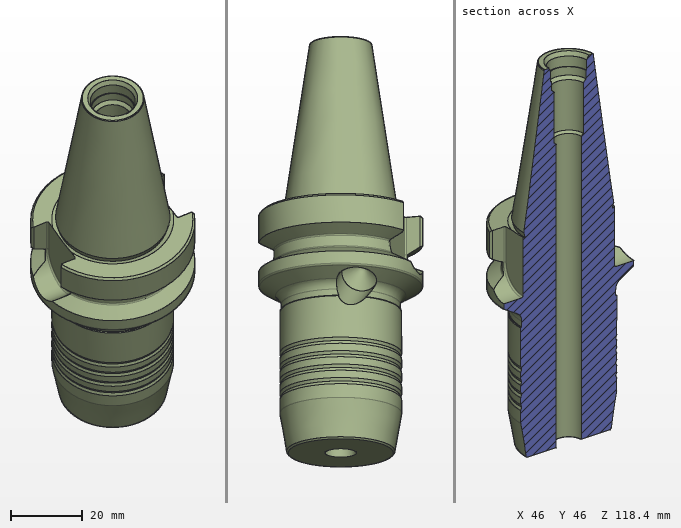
import cadquery as cq
import math

TOTAL_LENGTH = 118.4
OVERCUT = 1.2
SELECT_MARGIN = 0.01

TAPER_TIP_RADIUS = 8.8
TAPER_BASE_RADIUS = 16.0
TAPER_BASE_Z = 70.1
TIP_CHAMFER = 0.2

RELIEF_RADIUS = 15.5
RELIEF_MOUTH_RADIUS = 17.0
RELIEF_DEPTH = 0.6

FLANGE_RADIUS = 23.0
FLANGE_TOP_Z = 69.0
FLANGE_BOTTOM_Z = 48.3
FLANGE_CHAMFER = 0.6
GROOVE_RADIUS = 18.8
GROOVE_UPPER_Z = 58.1
GROOVE_LOWER_Z = 54.6
GROOVE_ROOT_FILLET = 0.5
LOWER_RIM_FILLET = 0.6
FLANK_ANGLE = math.radians(30)

NECK_RADIUS = 16.7
NECK_BLEND_RADIUS = 3.1
NECK_BOTTOM_Z = 41.1
SHOULDER_CHAMFER = 0.2

BODY_RADIUS = 17.0
BODY_BOTTOM_Z = 11.4
NOSE_RADIUS = 15.2
NOSE_CHAMFER = 0.5

RING_COUNT = 4
RING_TOP_Z = 28.0
RING_PITCH = 3.9
RING_WIDTH = 1.8
RING_DEPTH = 0.4

PILOT_MOUTH_RADIUS = 7.0
PILOT_CHAMFER_DEPTH = 1.3
PILOT_RADIUS = 6.3
PILOT_DEPTH = 4.5
RECESS_RADIUS = 6.0
RECESS_DEPTH = 7.1
DRILL_RADIUS = 5.1
DRILL_DEPTH = 23.7
THROUGH_RADIUS = 4.4

SLOT_HALF_WIDTH = 8.0
SLOT_FLOOR_Y = 16.2
SLOT_ARC_CENTRE_Z = 58.1
SLOT_FLOOR_FILLET = 0.5
SLOT_MOUTH_CHAMFER = 0.6

POCKET_RADIUS = 5.2
POCKET_Y = -9.4
POCKET_END_X = -11.2
POCKET_END_Z = 48.1
POCKET_TILT = 40.0
POCKET_LENGTH = 29.6
POCKET_POINT_ANGLE = 90.0


def circle_at(z):
    """Select the circular edge centred on the Z axis at the given height."""
    return cq.selectors.BoxSelector(
        (-SELECT_MARGIN, -SELECT_MARGIN, z - SELECT_MARGIN),
        (SELECT_MARGIN, SELECT_MARGIN, z + SELECT_MARGIN),
    )


def make_body():
    """Revolve the outside profile: taper, flange, neck, body and nose."""
    flank_height = (FLANGE_RADIUS - GROOVE_RADIUS) * math.tan(FLANK_ANGLE)

    blend_turn = math.pi / 2 - FLANK_ANGLE
    blend_start_radius = NECK_RADIUS + NECK_BLEND_RADIUS * (1 - math.cos(blend_turn))
    blend_start_z = FLANGE_BOTTOM_Z - (FLANGE_RADIUS - blend_start_radius) * math.tan(FLANK_ANGLE)
    blend_end_z = blend_start_z - NECK_BLEND_RADIUS * math.sin(blend_turn)
    blend_mid_radius = NECK_RADIUS + NECK_BLEND_RADIUS * (1 - math.cos(blend_turn / 2))
    blend_mid_z = blend_end_z + NECK_BLEND_RADIUS * math.sin(blend_turn / 2)

    profile = (
        cq.Workplane("XZ")
        .moveTo(0, TOTAL_LENGTH)
        .lineTo(TAPER_TIP_RADIUS - TIP_CHAMFER, TOTAL_LENGTH)
        .lineTo(TAPER_TIP_RADIUS, TOTAL_LENGTH - TIP_CHAMFER)
        .lineTo(TAPER_BASE_RADIUS, TAPER_BASE_Z)
        .lineTo(RELIEF_RADIUS, FLANGE_TOP_Z - RELIEF_DEPTH)
        .lineTo(RELIEF_MOUTH_RADIUS, FLANGE_TOP_Z)
        .lineTo(FLANGE_RADIUS - FLANGE_CHAMFER, FLANGE_TOP_Z)
        .lineTo(FLANGE_RADIUS, FLANGE_TOP_Z - FLANGE_CHAMFER)
        .lineTo(FLANGE_RADIUS, GROOVE_UPPER_Z + flank_height)
        .lineTo(GROOVE_RADIUS, GROOVE_UPPER_Z)
        .lineTo(GROOVE_RADIUS, GROOVE_LOWER_Z)
        .lineTo(FLANGE_RADIUS, GROOVE_LOWER_Z - flank_height)
        .lineTo(FLANGE_RADIUS, FLANGE_BOTTOM_Z)
        .lineTo(blend_start_radius, blend_start_z)
        .threePointArc((blend_mid_radius, blend_mid_z), (NECK_RADIUS, blend_end_z))
        .lineTo(NECK_RADIUS, NECK_BOTTOM_Z)
        .lineTo(BODY_RADIUS - SHOULDER_CHAMFER, NECK_BOTTOM_Z)
        .lineTo(BODY_RADIUS, NECK_BOTTOM_Z - SHOULDER_CHAMFER)
        .lineTo(BODY_RADIUS, BODY_BOTTOM_Z)
        .lineTo(NOSE_RADIUS, NOSE_CHAMFER)
        .lineTo(NOSE_RADIUS - NOSE_CHAMFER, 0)
        .lineTo(0, 0)
        .close()
    )
    body = profile.revolve(360, (0, 0, 0), (0, 1, 0))
    for root_z in (GROOVE_UPPER_Z, GROOVE_LOWER_Z):
        body = body.edges(circle_at(root_z)).fillet(GROOVE_ROOT_FILLET)
    return body.edges(circle_at(FLANGE_BOTTOM_Z)).fillet(LOWER_RIM_FILLET)


def make_ring_groove(centre_z):
    """Ring with a V-shaped section that cuts one marking groove."""
    half_width = RING_WIDTH / 2
    section = (
        cq.Workplane("XZ")
        .moveTo(BODY_RADIUS, centre_z + half_width)
        .lineTo(BODY_RADIUS - RING_DEPTH, centre_z)
        .lineTo(BODY_RADIUS, centre_z - half_width)
        .lineTo(BODY_RADIUS + OVERCUT, centre_z - half_width)
        .lineTo(BODY_RADIUS + OVERCUT, centre_z + half_width)
        .close()
    )
    return section.revolve(360, (0, 0, 0), (0, 1, 0))


def make_bore():
    """Through hole, stepped and chamfered at the taper tip."""
    recess_z = TOTAL_LENGTH - RECESS_DEPTH
    drill_z = TOTAL_LENGTH - DRILL_DEPTH
    section = (
        cq.Workplane("XZ")
        .moveTo(0, TOTAL_LENGTH)
        .lineTo(PILOT_MOUTH_RADIUS, TOTAL_LENGTH)
        .lineTo(PILOT_RADIUS, TOTAL_LENGTH - PILOT_CHAMFER_DEPTH)
        .lineTo(PILOT_RADIUS, TOTAL_LENGTH - PILOT_DEPTH)
        .lineTo(RECESS_RADIUS, TOTAL_LENGTH - PILOT_DEPTH)
        .lineTo(RECESS_RADIUS, recess_z)
        .lineTo(DRILL_RADIUS, recess_z - (RECESS_RADIUS - DRILL_RADIUS))
        .lineTo(DRILL_RADIUS, drill_z)
        .lineTo(THROUGH_RADIUS, drill_z - (DRILL_RADIUS - THROUGH_RADIUS))
        .lineTo(THROUGH_RADIUS, 0)
        .lineTo(0, 0)
        .close()
    )
    return section.revolve(360, (0, 0, 0), (0, 1, 0))


def make_drive_slot():
    """Cutter for the -Y drive slot: round-bottomed, with chamfered mouth edges."""
    slot_top_z = FLANGE_TOP_Z + OVERCUT
    outer_y = FLANGE_RADIUS + OVERCUT
    slot = (
        cq.Workplane("XZ", origin=(0, -SLOT_FLOOR_Y, 0))
        .moveTo(-SLOT_HALF_WIDTH, slot_top_z)
        .lineTo(-SLOT_HALF_WIDTH, SLOT_ARC_CENTRE_Z)
        .threePointArc((0, SLOT_ARC_CENTRE_Z - SLOT_HALF_WIDTH), (SLOT_HALF_WIDTH, SLOT_ARC_CENTRE_Z))
        .lineTo(SLOT_HALF_WIDTH, slot_top_z)
        .close()
        .extrude(outer_y - SLOT_FLOOR_Y)
        .faces(">Y")
        .edges("not >Z")
        .fillet(SLOT_FLOOR_FILLET)
    )

    chamfer_half_width = SLOT_HALF_WIDTH + SLOT_MOUTH_CHAMFER
    rim_y = math.sqrt(FLANGE_RADIUS**2 - chamfer_half_width**2)
    mouth = (
        cq.Workplane("XY", origin=(0, 0, SLOT_ARC_CENTRE_Z))
        .moveTo(-SLOT_HALF_WIDTH, SLOT_MOUTH_CHAMFER - rim_y)
        .lineTo(-chamfer_half_width, -rim_y)
        .lineTo(-chamfer_half_width, -outer_y)
        .lineTo(chamfer_half_width, -outer_y)
        .lineTo(chamfer_half_width, -rim_y)
        .lineTo(SLOT_HALF_WIDTH, SLOT_MOUTH_CHAMFER - rim_y)
        .close()
        .extrude(slot_top_z - SLOT_ARC_CENTRE_Z)
    )
    return slot.union(mouth)


def make_pocket():
    """Drill-shaped cutter that rises inwards to a conical end under the flange."""
    tilt = math.radians(POCKET_TILT)
    point_length = POCKET_RADIUS / math.tan(math.radians(POCKET_POINT_ANGLE / 2))
    axis_plane = cq.Plane(
        origin=(POCKET_END_X, POCKET_Y, POCKET_END_Z),
        xDir=(math.sin(tilt), 0, -math.cos(tilt)),
        normal=(0, -1, 0),
    )
    section = (
        cq.Workplane(axis_plane)
        .moveTo(0, point_length)
        .lineTo(POCKET_RADIUS, 0)
        .lineTo(POCKET_RADIUS, -POCKET_LENGTH)
        .lineTo(0, -POCKET_LENGTH)
        .close()
    )
    return section.revolve(360, (0, 0, 0), (0, 1, 0))


result = make_body()
for ring in range(RING_COUNT):
    result = result.cut(make_ring_groove(RING_TOP_Z - ring * RING_PITCH))

drive_slot = make_drive_slot()
result = result.cut(drive_slot)
result = result.cut(drive_slot.rotate((0, 0, 0), (0, 0, 1), 180))
result = result.cut(make_pocket())
result = result.cut(make_bore())